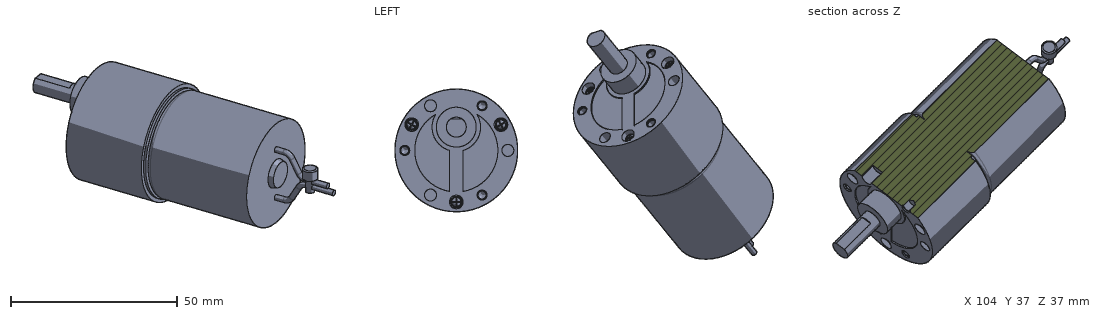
import cadquery as cq
import math


gearbox_diameter = 37.0
gearbox_length = 26.5
flange_diameter = 34.6
flange_length = 0.8
can_diameter = 34.0
can_edge_radius = 1.4
can_end_x = 62.6

cap_base_diameter = 9.2
cap_tip_diameter = 8.2
cap_length = 1.6

shaft_offset = 7.0
shaft_diameter = 6.0
shaft_length = 21.0
flat_length = 12.0
flat_height = 2.5
boss_diameter = 12.0
boss_length = 6.2

pocket_diameter = 25.0
pocket_depth = 0.5
ring_diameter = 14.6
rib_width = 4.0

hole_circle_radius = 15.5
plain_hole_diameter = 3.6
plain_hole_depth = 5.0
tapped_mouth_diameter = 3.0
tapped_mouth_depth = 0.5
tapped_core_diameter = 2.4
tapped_depth = 3.0
drill_point_half_angle = math.radians(59)
tapped_tip_depth = tapped_core_diameter / 2 / math.tan(drill_point_half_angle)

screw_recess_diameter = 4.1
screw_recess_depth = 2.4
screw_head_diameter = 3.4
screw_dome_diameter = 2.8
screw_head_edge_height = 0.8
screw_head_height = 1.3
screw_slot_length = screw_dome_diameter
screw_slot_width = 0.3
screw_slot_depth = screw_head_height - screw_head_edge_height

wire_diameter = 1.8
wire_exit_z = 8.2
wire_pair_z = 0.88
wire_exit_length = 3.05
wire_slant = math.radians(60)
wire_bend_radius = 3.0
wire_embed = 1.0
wire_end_step = 2.1
overall_length = 104.02
lower_wire_end_x = overall_length - shaft_length
upper_wire_end_x = lower_wire_end_x - wire_end_step

clamp_x = 74.6
post_diameter = 2.75
post_bottom_z = -2.7
button_diameter = 4.7
button_bottom_z = 1.6
button_top_z = 5.3
button_chamfer = 0.5
button_chamfer_height = 0.3


def cylinder_x(start_x, end_x, diameter, z=0.0):
    """Cylinder parallel to X between two X positions."""
    plane = cq.Workplane("YZ", origin=(start_x, 0, z))
    return plane.circle(diameter / 2).extrude(end_x - start_x)


def turned(profile):
    """Solid of revolution about X from a closed (x, radius) profile."""
    return profile.close().revolve(360, (0, 0, 0), (1, 0, 0))


def on_hole_circle(feature, angle):
    """Move a feature from the X axis to the front hole circle, angle 0 being at -Y."""
    return feature.translate((0, -hole_circle_radius, 0)).rotate((0, 0, 0), (1, 0, 0), angle)


def make_body():
    flange_end_x = gearbox_length + flange_length
    can_radius = can_diameter / 2
    arc_inset = can_edge_radius * (1 - math.sqrt(0.5))
    cap_end_x = can_end_x + cap_length
    profile = (
        cq.Workplane("XY")
        .moveTo(0, 0)
        .lineTo(0, gearbox_diameter / 2)
        .lineTo(gearbox_length, gearbox_diameter / 2)
        .lineTo(gearbox_length, flange_diameter / 2)
        .lineTo(flange_end_x, flange_diameter / 2)
        .lineTo(flange_end_x, can_radius - can_edge_radius)
        .threePointArc(
            (flange_end_x + arc_inset, can_radius - arc_inset),
            (flange_end_x + can_edge_radius, can_radius),
        )
        .lineTo(can_end_x, can_radius)
        .lineTo(can_end_x, cap_base_diameter / 2)
        .lineTo(cap_end_x, cap_tip_diameter / 2)
        .lineTo(cap_end_x, 0)
    )
    return turned(profile)


def make_face_pocket():
    pocket = cylinder_x(0, pocket_depth, pocket_diameter)
    ring = cylinder_x(0, pocket_depth, ring_diameter, z=shaft_offset)
    rib = cq.Workplane("XY").box(
        pocket_depth, rib_width, shaft_offset + pocket_diameter / 2, centered=(False, True, False)
    )
    return pocket.cut(ring).cut(rib.translate((0, 0, -pocket_diameter / 2)))


def make_shaft():
    boss = cylinder_x(-boss_length, 0, boss_diameter)
    shaft = cylinder_x(-shaft_length, 0, shaft_diameter)
    above_flat = cq.Workplane("XY").box(
        flat_length, shaft_diameter, shaft_diameter, centered=(False, True, False)
    )
    shaft = shaft.cut(above_flat.translate((-shaft_length, 0, flat_height)))
    return boss.union(shaft).translate((0, 0, shaft_offset))


def make_tapped_hole():
    """Hole with a wider mouth and a drill-point bottom."""
    profile = (
        cq.Workplane("XY")
        .moveTo(0, 0)
        .lineTo(0, tapped_mouth_diameter / 2)
        .lineTo(tapped_mouth_depth, tapped_mouth_diameter / 2)
        .lineTo(tapped_mouth_depth, tapped_core_diameter / 2)
        .lineTo(tapped_depth, tapped_core_diameter / 2)
        .lineTo(tapped_depth + tapped_tip_depth, 0)
    )
    return turned(profile)


def make_screw_recess():
    """Space around a domed cross-slot screw head standing on the recess floor."""
    recess = cylinder_x(0, screw_recess_depth, screw_recess_diameter)
    head_radius = screw_head_diameter / 2
    dome_edge_radius = screw_dome_diameter / 2
    crown_x = screw_recess_depth - screw_head_height
    edge_x = screw_recess_depth - screw_head_edge_height
    crown_rise = edge_x - crown_x
    dome_radius = (dome_edge_radius**2 + crown_rise**2) / (2 * crown_rise)
    half_angle = math.asin(dome_edge_radius / dome_radius) / 2
    middle_x = crown_x + dome_radius * (1 - math.cos(half_angle))
    middle_radius = dome_radius * math.sin(half_angle)
    head = turned(
        cq.Workplane("XY")
        .moveTo(screw_recess_depth, 0)
        .lineTo(screw_recess_depth, head_radius)
        .lineTo(edge_x, head_radius)
        .lineTo(edge_x, dome_edge_radius)
        .threePointArc((middle_x, middle_radius), (crown_x, 0))
    )
    for slot_y, slot_z in (
        (screw_slot_length, screw_slot_width),
        (screw_slot_width, screw_slot_length),
    ):
        slot = cq.Workplane("XY").box(screw_slot_depth, slot_y, slot_z, centered=(False, True, True))
        head = head.cut(slot.translate((crown_x, 0, 0)))
    return recess.cut(head)


def make_wire(side, end_x):
    """Wire on the upper (side = 1) or lower (side = -1) half of the XZ plane."""
    bend_x = wire_bend_radius * math.sin(wire_slant)
    bend_z = wire_bend_radius * (1 - math.cos(wire_slant))
    half_x = wire_bend_radius * math.sin(wire_slant / 2)
    half_z = wire_bend_radius * (1 - math.cos(wire_slant / 2))
    slant_z = wire_exit_z - wire_pair_z - 2 * bend_z
    slant_x = slant_z / math.tan(wire_slant)

    start_x = can_end_x - wire_embed
    first_x = can_end_x + wire_exit_length
    last_x = first_x + 2 * bend_x + slant_x
    path = (
        cq.Workplane("XZ")
        .moveTo(start_x, side * wire_exit_z)
        .lineTo(first_x, side * wire_exit_z)
        .threePointArc(
            (first_x + half_x, side * (wire_exit_z - half_z)),
            (first_x + bend_x, side * (wire_exit_z - bend_z)),
        )
        .lineTo(last_x - bend_x, side * (wire_pair_z + bend_z))
        .threePointArc(
            (last_x - half_x, side * (wire_pair_z + half_z)),
            (last_x, side * wire_pair_z),
        )
        .lineTo(end_x, side * wire_pair_z)
    )
    section = cq.Workplane("YZ", origin=(start_x, 0, side * wire_exit_z)).circle(wire_diameter / 2)
    return section.sweep(path)


def make_clamp():
    post = (
        cq.Workplane("XY", origin=(clamp_x, 0, post_bottom_z))
        .circle(post_diameter / 2)
        .extrude(button_top_z - post_bottom_z)
    )
    button = (
        cq.Workplane("XY", origin=(clamp_x, 0, button_bottom_z))
        .circle(button_diameter / 2)
        .extrude(button_top_z - button_bottom_z)
        .faces("<Z or >Z")
        .chamfer(button_chamfer_height, button_chamfer)
    )
    return post.union(button)


motor = make_body().cut(make_face_pocket()).union(make_shaft())

for third in (0, 120, 240):
    plain_hole = cylinder_x(0, plain_hole_depth, plain_hole_diameter)
    motor = motor.cut(on_hole_circle(plain_hole, third))
    motor = motor.cut(on_hole_circle(make_tapped_hole(), third + 60))
    motor = motor.cut(on_hole_circle(make_screw_recess(), third + 90))

for wire in (make_wire(1, upper_wire_end_x), make_wire(-1, lower_wire_end_x)):
    motor = motor.union(wire)

result = motor.union(make_clamp())